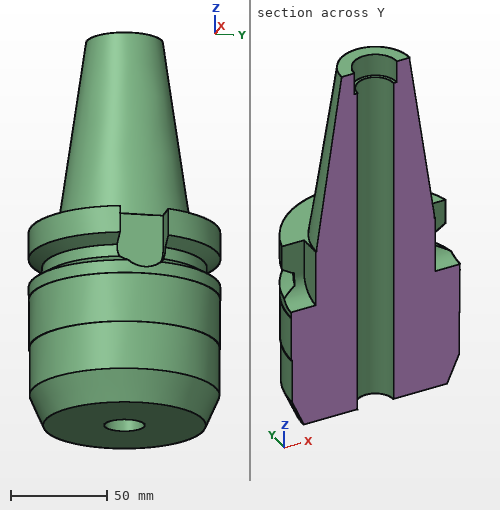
import cadquery as cq

total_height = 207.3
taper_base_z = 105.5
flange_top_z = 104.3
groove_upper_edge_z = 90.0
groove_floor_top_z = 85.5
groove_floor_bottom_z = 79.0
groove_lower_edge_z = 74.8
collar_bottom_z = 68.0
nut_top_z = 41.7
nose_cone_top_z = 16.2

flange_diameter = 100.0
groove_diameter = 85.8
body_diameter = 99.5
nut_diameter = 98.9
nose_diameter = 84.5
taper_diameter = 69.9
taper_ratio = 7 / 24
taper_end_diameter = taper_diameter - taper_ratio * (total_height - taper_base_z)

through_bore_diameter = 21.1
counterbore_diameter = 24.9
counterbore_depth = 12.9

slot_width = 25.7
slot_bottom_z = 71.5
slot_floor_x = 35.2


def turned_holder():
    """Taper, grooved flange, body and nut, revolved about Z."""
    diameter_and_height = [
        (nose_diameter, 0),
        (nut_diameter, nose_cone_top_z),
        (nut_diameter, nut_top_z),
        (body_diameter, nut_top_z),
        (body_diameter, collar_bottom_z),
        (flange_diameter, collar_bottom_z),
        (flange_diameter, groove_lower_edge_z),
        (groove_diameter, groove_floor_bottom_z),
        (groove_diameter, groove_floor_top_z),
        (flange_diameter, groove_upper_edge_z),
        (flange_diameter, flange_top_z),
        (taper_diameter, flange_top_z),
        (taper_diameter, taper_base_z),
        (taper_end_diameter, total_height),
    ]
    outline = [(0, 0)]
    outline += [(diameter / 2, height) for diameter, height in diameter_and_height]
    outline += [(0, total_height)]
    return cq.Workplane("XZ").polyline(outline).close().revolve(360, (0, 0), (0, 1))


def drive_slot(side):
    """Round-bottomed slot cutter; side is -1 for -X and +1 for +X."""
    half_width = slot_width / 2
    arc_center_z = slot_bottom_z + half_width
    return (
        cq.Workplane("YZ", origin=(side * slot_floor_x, 0, 0))
        .moveTo(-half_width, flange_top_z)
        .lineTo(-half_width, arc_center_z)
        .threePointArc((0, slot_bottom_z), (half_width, arc_center_z))
        .lineTo(half_width, flange_top_z)
        .close()
        .extrude(side * flange_diameter / 2)
    )


result = turned_holder()

for side in (-1, 1):
    result = result.cut(drive_slot(side))

result = (
    result.faces(">Z")
    .workplane(origin=(0, 0, total_height))
    .cboreHole(through_bore_diameter, counterbore_diameter, counterbore_depth)
)